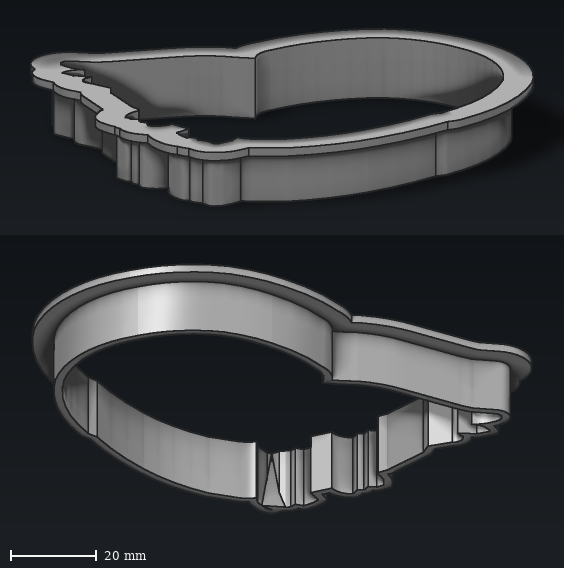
import cadquery as cq

total_height = 14.7
flange_thickness = 2.0

wall_thickness = 2.0
flange_width = 7.0

foot_corner = (24.9, -45.2)
foot_lean_start = (25.9, -42.1)
foot_lean_end = (21.4, -45.4)

neck = (-15.8, 7.4)


def draw_head(path):
    """Rounded head, clockwise from the neck over the crown to the nape."""
    return (
        path
        .threePointArc((-17.6, 10.2), (-17.8, 14.8))
        .threePointArc((-16.4, 22.2), (-13.2, 30.3))
        .threePointArc((-10.2, 35.5), (-6.4, 40.0))
        .threePointArc((1.6, 44.9), (11.0, 47.1))
        .threePointArc((24.8, 45.4), (36.8, 36.5))
        .threePointArc((42.2, 26.0), (44.4, 14.8))
        .lineTo(44.5, 9.5)
        .lineTo(43.5, 6.9)
    )


def draw_back(path):
    """Long back, from the nape down to the heel of the rear foot."""
    return (
        path
        .threePointArc((43.1, -3.0), (41.5, -12.8))
        .threePointArc((38.6, -22.0), (33.9, -30.7))
        .lineTo(29.0, -35.9)
        .threePointArc((27.3, -37.2), (25.2, -38.0))
    )


def draw_rear_foot(path):
    """Rear foot with two toe notches, ending at the gap between the feet."""
    return (
        path
        .lineTo(26.0, -40.4)
        .lineTo(*foot_lean_start)
        .lineTo(25.6, -44.2)
        .lineTo(*foot_corner)
        .lineTo(22.8, -45.0)
        .lineTo(*foot_lean_end)
        .lineTo(20.3, -45.9)
        .lineTo(18.7, -45.2)
        .lineTo(17.3, -46.7)
        .threePointArc((14.9, -46.4), (12.9, -45.6))
        .lineTo(12.7, -41.5)
        .lineTo(7.3, -41.7)
    )


def draw_front_foot(path):
    """Front foot with its toes, ending at the start of the belly."""
    return (
        path
        .threePointArc((6.4, -44.8), (4.3, -46.6))
        .lineTo(2.4, -45.2)
        .lineTo(1.1, -46.0)
        .lineTo(-0.6, -44.9)
        .lineTo(-2.2, -46.0)
        .lineTo(-4.1, -45.9)
        .threePointArc((-5.2, -43.8), (-5.5, -40.2))
        .lineTo(-6.1, -39.5)
        .lineTo(-8.4, -39.4)
    )


def draw_tail(path):
    """Belly, feathered tail with two sharp notches, and back up to the neck."""
    return (
        path
        .lineTo(-20.1, -35.2)
        .lineTo(-22.6, -32.8)
        .lineTo(-28.5, -33.6)
        .threePointArc((-31.3, -33.4), (-32.0, -32.3))
        .lineTo(-31.8, -30.0)
        .lineTo(-35.6, -32.4)
        .lineTo(-38.9, -32.7)
        .threePointArc((-38.8, -30.0), (-36.8, -27.5))
        .threePointArc((-40.0, -28.6), (-43.2, -28.6))
        .threePointArc((-44.87, -26.9), (-44.3, -25.2))
        .lineTo(-39.4, -21.5)
        .lineTo(-37.5, -18.9)
        .lineTo(-29.4, -5.3)
        .threePointArc((-26.4, -0.9), (-22.4, 2.9))
        .threePointArc((-19.0, 5.0), neck)
        .close()
    )


def draw_opening():
    """Closed outline of the cutter opening."""
    path = cq.Workplane("XY").moveTo(*neck)
    for draw_section in (draw_head, draw_back, draw_rear_foot, draw_front_foot, draw_tail):
        path = draw_section(path)
    return path


def make_foot_lean():
    """Filler whose inner face leans from the foot corner to a straight chord at the bottom."""
    corner = cq.Vector(*foot_corner, 0)
    start = cq.Vector(*foot_lean_start, 0)
    end = cq.Vector(*foot_lean_end, 0)
    apex = cq.Vector(*foot_corner, total_height)
    triangles = [
        (corner, start, end),
        (corner, start, apex),
        (start, end, apex),
        (end, corner, apex),
    ]
    faces = [cq.Face.makeFromWires(cq.Wire.makePolygon(t, close=True)) for t in triangles]
    return cq.Workplane(cq.Solid.makeSolid(cq.Shell.makeShell(faces)))


wall = draw_opening().offset2D(wall_thickness).extrude(total_height)
flange = (
    draw_opening()
    .offset2D(flange_width)
    .extrude(flange_thickness)
    .translate((0, 0, total_height - flange_thickness))
)
opening = draw_opening().extrude(total_height)

result = wall.union(flange).cut(opening).union(make_foot_lean())